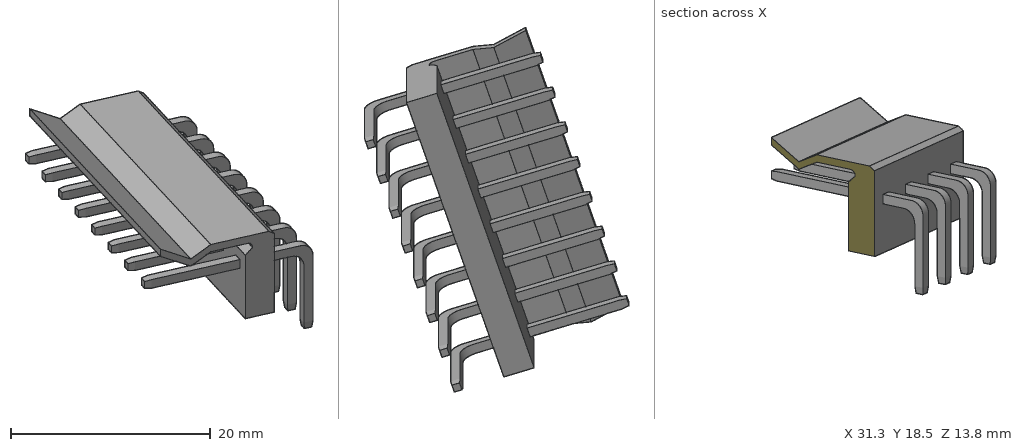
import cadquery as cq
import math


pin_count = 8
pin_pitch = 3.96
end_margin = 1.78
row_span = (pin_count - 1) * pin_pitch
housing_length = row_span + 2 * end_margin

pin_width = 1.0
pin_overall_depth = 18.5
pin_axis_z = 5.66
leg_length = 3.55
bend_radius = 1.4
tip_length = 0.75
tip_width = 0.8
pin_back_y = pin_width / 2
pin_front_y = pin_back_y - pin_overall_depth
pin_top_z = pin_axis_z + pin_width / 2

leg_setback = 4.85
wall_back_y = pin_back_y - leg_setback
wall_thickness = 3.2
wall_front_y = wall_back_y - wall_thickness
back_bevel_depth = 0.6
back_bevel_drop = 0.4
housing_height = 9.45

arm_thickness = 0.83
arm_flat_reach = 3.8
catch_reach = 2.2
lead_in_reach = 3.35
arm_bend_y = wall_front_y - arm_flat_reach
catch_y = arm_bend_y - catch_reach
arm_tip_y = catch_y - lead_in_reach
overall_height = 13.79
arm_tip_z = overall_height - leg_length
lead_in_angle = math.radians(30)
catch_z = arm_tip_z - lead_in_reach * math.tan(lead_in_angle)

groove_radius = 0.6
groove_depth = 0.8
groove_bevel_drop = 0.7


def build_housing():
    """Constant wall-and-arm profile extruded along the whole row."""
    arm_under_z = housing_height - arm_thickness
    groove_y = wall_front_y + groove_depth
    groove_center_y = groove_y - groove_radius
    groove_center_z = arm_under_z - groove_radius
    groove_mid = groove_radius * math.sqrt(0.5)
    profile = (
        cq.Workplane("YZ", origin=(-housing_length / 2, 0, 0))
        .moveTo(wall_back_y, 0)
        .lineTo(wall_back_y, housing_height - back_bevel_drop)
        .lineTo(wall_back_y - back_bevel_depth, housing_height)
        .lineTo(arm_bend_y, housing_height)
        .lineTo(catch_y, catch_z)
        .lineTo(arm_tip_y, arm_tip_z)
        .lineTo(arm_tip_y, arm_tip_z - arm_thickness)
        .lineTo(catch_y, catch_z - arm_thickness)
        .lineTo(arm_bend_y, arm_under_z)
        .lineTo(groove_center_y, arm_under_z)
        .threePointArc(
            (groove_center_y + groove_mid, groove_center_z + groove_mid),
            (groove_y, groove_center_z),
        )
        .lineTo(wall_front_y, groove_center_z - groove_bevel_drop)
        .lineTo(wall_front_y, 0)
        .close()
    )
    return profile.extrude(housing_length)


def build_tip(base_plane):
    """Square tip tapering along the normal of the given plane."""
    return (
        cq.Workplane(base_plane)
        .rect(pin_width, pin_width)
        .workplane(offset=tip_length)
        .rect(tip_width, tip_width)
        .loft()
    )


def build_pin():
    """One square pin bent through a right angle, centred on X = 0."""
    shank_front_y = pin_front_y + tip_length
    shank_bottom_z = tip_length - leg_length
    leg_front_y = pin_back_y - pin_width
    pin_under_z = pin_top_z - pin_width
    shank = (
        cq.Workplane("YZ", origin=(-pin_width / 2, 0, 0))
        .moveTo(shank_front_y, pin_top_z)
        .lineTo(pin_back_y - bend_radius, pin_top_z)
        .radiusArc((pin_back_y, pin_top_z - bend_radius), bend_radius)
        .lineTo(pin_back_y, shank_bottom_z)
        .lineTo(leg_front_y, shank_bottom_z)
        .lineTo(leg_front_y, pin_under_z - bend_radius)
        .radiusArc((leg_front_y - bend_radius, pin_under_z), -bend_radius)
        .lineTo(shank_front_y, pin_under_z)
        .close()
        .extrude(pin_width)
    )
    mating_plane = cq.Plane((0, shank_front_y, pin_axis_z), xDir=(1, 0, 0), normal=(0, -1, 0))
    leg_plane = cq.Plane((0, 0, shank_bottom_z), xDir=(1, 0, 0), normal=(0, 0, -1))
    return shank.union(build_tip(mating_plane)).union(build_tip(leg_plane))


result = build_housing()
pin = build_pin()
for index in range(pin_count):
    pin_x = index * pin_pitch - row_span / 2
    result = result.union(pin.translate((pin_x, 0, 0)))